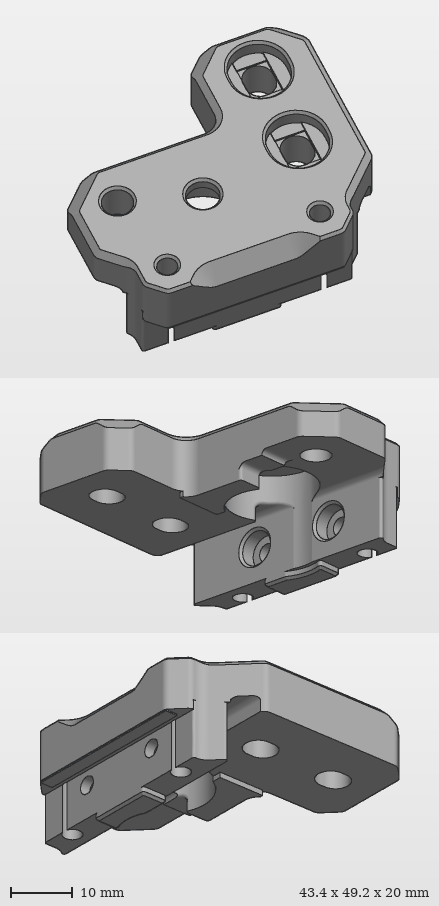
import cadquery as cq
import math


left_x = -27.45
right_x = left_x + 43.4
back_y = 28.47
front_y = back_y - 49.24
overall_height = 20.0
inner_x = -11.75
inner_y = 8.45
arm_corner = 3.05
leg_corner = 4.45
corner_radius = 1.5
inner_radius = 3.0

centre_y = 2.45
lobe_half_width = 18.5
lobe_corner = 3.0
lobe_back_y = centre_y + lobe_half_width
lobe_front_y = centre_y - lobe_half_width
back_slope_x = 3.3
front_slope_x = 4.1
lobe_hole_x = 10.83
lobe_hole_offset = 13.45

main_chamfer = 1.08
lobe_chamfer = 0.5
corner_bevel = 2.52
hole_chamfer = 0.45

plate_z = -7.0
ledge_z = -8.0
block_z = -10.0
pad_z = -11.0
overhang_z = -9.75
wall_z = -18.65
tongue_z = -overall_height

wall_inner_x = 7.5
wall_outer_x = 12.45
wall_edge_radius = 0.4
groove_edge_radius = 0.25
channel_x = 4.05
step_radius = 1.0
block_edge_radius = 0.5
block_front_y = -3.74
ledge_front_y = -8.2
ledge_right_x = -6.2
pad_left_x = -12.9
pad_right_x = -3.9
tongue_half_width = 6.0
tongue_edge = 0.5
tongue_bevel = 0.45
tongue_clearance_radius = 8.4
lip_left_x = 13.4
lip_inset = 0.15

bore_diameter = 15.5
bore_top_z = -2.0
centre_diameter = 5.6
leg_hole_diameter = 5.2
leg_hole = (-4.2, -13.2)
lobe_hole_diameter = 3.4
wall_hole_diameter = 3.2
wall_bore_diameter = 6.0
wall_bore_depth = 3.0
wall_hole_offset = 7.95
wall_hole_z = -12.45

slot_centres = [(-19.37, 18.4), (-3.97, 18.4)]
slot_travel = 1.0
slot_head_width = 10.0
slot_width = 5.2
window_width = 5.4
slot_head_depth = 2.5
bridge_step = 0.3

scoop_half_length = 8.95
scoop_depth = 3.0
scoop_radius = 5.0
scoop_x = right_x - scoop_depth

margin = 5.0


def rounded_outline(corners):
    """Closed wire through (x, y, radius) corners, each rounded by its radius; 0 leaves it sharp."""
    wire = None
    for i, (x, y, radius) in enumerate(corners):
        corner = cq.Vector(x, y)
        before = (cq.Vector(*corners[i - 1][:2]) - corner).normalized()
        after = (cq.Vector(*corners[(i + 1) % len(corners)][:2]) - corner).normalized()
        half_angle = before.getAngle(after) / 2
        setback = radius / math.tan(half_angle)
        bisector = (before + after).normalized()
        start = corner + before * setback
        middle = corner + bisector * (radius / math.sin(half_angle) - radius)
        end = corner + after * setback
        if wire is None:
            wire = cq.Workplane("XY").moveTo(start.x, start.y)
        else:
            wire = wire.lineTo(start.x, start.y)
        if radius > 0:
            wire = wire.threePointArc((middle.x, middle.y), (end.x, end.y))
    return wire.close()


def inset_outline(corners, insets):
    """Corners of a clockwise outline after moving each edge inwards; insets[i] follows corner i."""
    moved = []
    for i, (x, y, radius) in enumerate(corners):
        corner = cq.Vector(x, y)
        arriving = (corner - cq.Vector(*corners[i - 1][:2])).normalized()
        leaving = (cq.Vector(*corners[(i + 1) % len(corners)][:2]) - corner).normalized()
        inset_in = insets[i - 1]
        inset_out = insets[i]
        turn = arriving.cross(leaving).z
        shift = (arriving * inset_out - leaving * inset_in) * (-1 / turn)
        growth = (inset_in + inset_out) / 2 * math.copysign(1, turn)
        moved.append((x - shift.x, y - shift.y, radius + growth))
    return moved


def block(x_range, y_range, z_range):
    """Box between pairs of limits."""
    size = [high - low for low, high in (x_range, y_range, z_range)]
    corner = (x_range[0], y_range[0], z_range[0])
    return cq.Workplane("XY").box(*size, centered=False).translate(corner)


def outline_corners():
    """Corners of the outer contour, clockwise from the left side of the arm."""
    r = corner_radius
    back_lobe_x = back_slope_x + back_y - lobe_back_y
    front_lobe_x = front_slope_x + lobe_front_y - front_y
    return [
        (left_x, inner_y + arm_corner, r),
        (left_x, back_y - arm_corner, r),
        (left_x + arm_corner, back_y, r),
        (back_slope_x, back_y, r),
        (back_lobe_x, lobe_back_y, inner_radius),
        (right_x - lobe_corner, lobe_back_y, r),
        (right_x, lobe_back_y - lobe_corner, r),
        (right_x, lobe_front_y + lobe_corner, r),
        (right_x - lobe_corner, lobe_front_y, r),
        (front_lobe_x, lobe_front_y, inner_radius),
        (front_slope_x, front_y, r),
        (inner_x + leg_corner, front_y, r),
        (inner_x, front_y + leg_corner, r),
        (inner_x, inner_y, inner_radius),
        (left_x + arm_corner, inner_y, r),
    ]


def outline():
    """Outer contour of the part."""
    return rounded_outline(outline_corners())


def body():
    """Full-depth block whose top edge is bevelled at 45 degrees, less so around the lobes."""
    insets = [main_chamfer] * 4 + [lobe_chamfer] * 5 + [main_chamfer] * 6
    top_outline = rounded_outline(inset_outline(outline_corners(), insets))
    crown = top_outline.extrude(-main_chamfer, taper=-45).intersect(outline().extrude(-main_chamfer))
    base = outline().extrude(block_z + main_chamfer).translate((0, 0, -main_chamfer))
    return base.union(crown)


def bevel_corner(shape, x, y, outward_y):
    """Bevels the top of a 45 degree corner face and rounds the ends of the bevel."""
    normal = cq.Vector(-1, outward_y, 0).normalized()
    up = cq.Vector(0, 0, 1)
    middle = cq.Vector(x, y, 0)
    frame = cq.Plane(origin=middle, xDir=normal, normal=normal.cross(up))
    far = corner_bevel + margin
    wedge = cq.Workplane(frame).polyline([(-far, margin), (margin, -far), (margin, margin)]).close()
    shape = shape.cut(wedge.extrude(margin, both=True))
    bevel_centre = middle - (normal + up) * (corner_bevel / 2)
    bevel = shape.faces(cq.selectors.NearestToPointSelector(bevel_centre.toTuple()))
    end_edges = bevel.edges(">>Z[-2]")
    return end_edges.fillet(corner_radius)


def bevelled_body():
    """Body with larger bevels on its three left-hand corners."""
    half_arm = arm_corner / 2
    half_leg = leg_corner / 2
    shape = bevel_corner(body(), left_x + half_arm, back_y - half_arm, 1)
    shape = bevel_corner(shape, left_x + half_arm, inner_y + half_arm, -1)
    return bevel_corner(shape, inner_x + half_leg, front_y + half_leg, -1)


def wall():
    """Upright wall that follows the outline at both ends, with a tongue along its lower edge."""
    wall_box = block((wall_inner_x, wall_outer_x), (front_y, back_y), (wall_z, 0))
    lower = outline().extrude(wall_z).intersect(wall_box)
    lower = lower.edges("|Z and (<X or >X)").fillet(wall_edge_radius)
    lower = lower.intersect(block((left_x, right_x), (front_y, back_y), (wall_z, ledge_z)))
    lower = lower.cut(cq.Workplane("XY").circle(bore_diameter / 2).extrude(wall_z))
    lower = lower.edges("|Z and <X").fillet(groove_edge_radius)
    tongue = block(
        (wall_inner_x, wall_outer_x),
        (centre_y - tongue_half_width, centre_y + tongue_half_width),
        (tongue_z, wall_z),
    )
    tongue = tongue.cut(cq.Workplane("XY").circle(tongue_clearance_radius).extrude(tongue_z))
    tongue = tongue.edges("|Z").fillet(tongue_edge)
    tongue = tongue.faces("<Z").edges().chamfer(tongue_bevel)
    return lower.union(tongue)


def pad():
    return block((pad_left_x, pad_right_x), (block_front_y, inner_y), (pad_z, block_z)).intersect(
        outline().extrude(pad_z)
    )


def channel():
    """Channel along Y between the block and the wall, with rounded upper corners."""
    tool = block((channel_x, wall_inner_x), (front_y - margin, back_y + margin), (pad_z, plate_z))
    return tool.edges("|Y and >Z").fillet(step_radius)


def front_relief():
    """Steps the underside of the leg up towards its front end."""
    middle_x = (channel_x + wall_inner_x) / 2
    start_x = left_x - margin
    start_y = front_y - margin
    depth = (pad_z - margin, ledge_z)
    kept = block((inner_x, channel_x), (block_front_y, block_front_y + margin), depth)
    kept = kept.edges("|Z and <X and <Y").fillet(block_edge_radius)
    ledge = block((start_x, middle_x), (start_y, block_front_y), depth)
    around_corner = block((start_x, channel_x), (block_front_y, block_front_y + 2 * step_radius), depth)
    ledge = ledge.union(around_corner).cut(kept)
    kept_front_edge = ((inner_x + channel_x) / 2, block_front_y, ledge_z)
    ledge = ledge.edges(cq.selectors.NearestToPointSelector(kept_front_edge)).fillet(step_radius)
    end_zone = block((start_x, middle_x), (start_y, ledge_front_y), (pad_z, plate_z))
    end_zone = end_zone.edges(">Y and >Z").fillet(step_radius)
    side_zone = block((ledge_right_x, middle_x), (start_y, block_front_y - step_radius), (pad_z, plate_z))
    side_zone = side_zone.edges("<X and >Z").fillet(step_radius)
    return ledge.union(end_zone).union(side_zone)


def overhang_relief():
    """Raises the underside outside the wall, leaving a thin lip along the right edge."""
    tool = block((wall_outer_x, right_x), (front_y, back_y), (block_z, overhang_z))
    lip = block(
        (lip_left_x, right_x - lip_inset),
        (lobe_front_y + lobe_corner, lobe_back_y - lobe_corner),
        (block_z, overhang_z),
    )
    return tool.cut(lip)


def round_hole(x, y, diameter):
    """Through hole along Z with a chamfered mouth on the top face."""
    radius = diameter / 2
    hole = cq.Workplane("XY").circle(radius).extrude(-overall_height)
    mouth = cq.Workplane("XY").circle(radius + hole_chamfer).extrude(-hole_chamfer, taper=45)
    return hole.union(mouth).translate((x, y, 0))


def slot_cut(width, top, bottom, taper=0):
    """Slot along X of the given width between two heights."""
    face = cq.Workplane("XY").workplane(offset=top).slot2D(width + slot_travel, width)
    return face.extrude(bottom - top, taper=taper)


def screw_slot(x, y):
    """Head slot, two stepped layers and a through slot."""
    seat_z = -slot_head_depth
    step_z = seat_z - bridge_step
    hole_top_z = step_z - bridge_step
    half_width = window_width / 2
    half_length = (window_width + slot_travel) / 2
    head = slot_cut(slot_head_width, 0, seat_z)
    mouth = slot_cut(slot_head_width + 2 * hole_chamfer, 0, -hole_chamfer, taper=45)
    band = block((-slot_head_width, slot_head_width), (-half_width, half_width), (step_z, seat_z))
    band = band.intersect(slot_cut(slot_head_width, seat_z, step_z))
    window = block((-half_length, half_length), (-half_width, half_width), (hole_top_z, step_z))
    through = slot_cut(slot_width, hole_top_z, -overall_height)
    return head.union(mouth).union(band).union(window).union(through).translate((x, y, 0))


def wall_hole(y):
    """Counterbored hole along X, entered from the inner face of the wall."""
    face = cq.Workplane("YZ", origin=(wall_inner_x, y, wall_hole_z))
    bore_radius = wall_bore_diameter / 2
    hole = face.circle(wall_hole_diameter / 2).extrude(right_x - wall_inner_x)
    bore = face.circle(bore_radius).extrude(wall_bore_depth)
    mouth = face.circle(bore_radius + hole_chamfer).extrude(hole_chamfer, taper=45)
    return hole.union(bore).union(mouth)


def scoop():
    """Sloped recess in the top right edge, between the lobes."""
    end = scoop_half_length + margin + scoop_depth
    flare = margin + scoop_depth
    far_x = scoop_x + flare + margin
    opening = rounded_outline([
        (scoop_x, centre_y - scoop_half_length, scoop_radius),
        (scoop_x + flare, centre_y - scoop_half_length - flare, 0),
        (far_x, centre_y - end, 0),
        (far_x, centre_y + end, 0),
        (scoop_x + flare, centre_y + scoop_half_length + flare, 0),
        (scoop_x, centre_y + scoop_half_length, scoop_radius),
    ])
    return opening.extrude(-scoop_depth, taper=45)


def motor_bore():
    """Round clearance under the plate, open downwards."""
    face = cq.Workplane("XY").workplane(offset=bore_top_z).circle(bore_diameter / 2)
    return face.extrude(tongue_z - bore_top_z)


def round_block_edges(shape):
    """Rounds the upright edges of the block beside the bore."""
    radius = bore_diameter / 2
    edge_z = (block_z - step_radius + ledge_z) / 2
    points = [
        (-math.sqrt(radius**2 - block_front_y**2), block_front_y, edge_z),
        (channel_x, math.sqrt(radius**2 - channel_x**2), edge_z),
    ]
    for point in points:
        edge = shape.edges("|Z").edges(cq.selectors.NearestToPointSelector(point))
        shape = edge.fillet(block_edge_radius)
    return shape


result = bevelled_body().union(pad())
result = result.cut(channel()).cut(front_relief()).cut(overhang_relief()).cut(motor_bore())
wall_footprint = block((wall_inner_x, wall_outer_x), (front_y, back_y), (block_z, ledge_z))
result = round_block_edges(result.cut(wall_footprint)).union(wall())
result = result.cut(round_hole(0, 0, centre_diameter))
result = result.cut(round_hole(*leg_hole, leg_hole_diameter))
for side in (-1, 1):
    result = result.cut(round_hole(lobe_hole_x, centre_y + side * lobe_hole_offset, lobe_hole_diameter))
    result = result.cut(wall_hole(centre_y + side * wall_hole_offset))
for centre in slot_centres:
    result = result.cut(screw_slot(*centre))
result = result.cut(scoop())